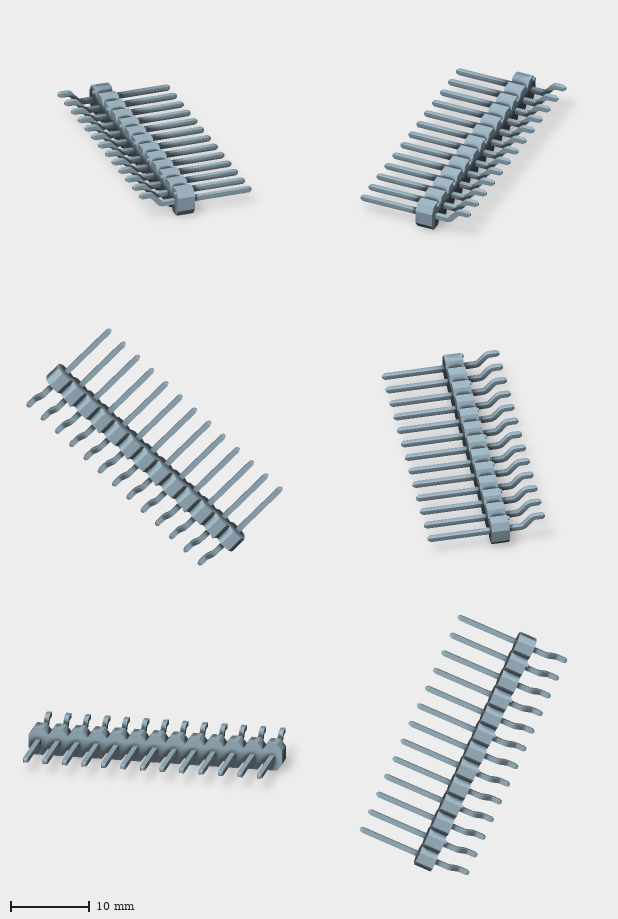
import cadquery as cq
import math


pin_count = 13
row_length = 33.02
pitch = row_length / pin_count
body_height = 3.55
body_depth = 2.3
notch_width = 0.63
notch_depth = 0.9

pin_size = 0.63
rear_length = 8.1
front_length = 4.8
lead_length = 1.6
bend_angle = 50.0
bend_radius = 0.83
tip_length = 0.33
tip_size = 0.33

peg_diameter = 0.53
peg_height = 0.25
peg_offset_x = 0.55
peg_offset_z = 1.3

half_height = body_height / 2
half_pin = pin_size / 2
rear_tip_y = body_depth + rear_length
foot_z = half_height - half_pin


def cell_center(index):
    return (index + 0.5) * pitch - row_length / 2


def make_housing():
    """Row of octagonal cells joined at their vertical sides."""
    half_pitch = pitch / 2
    flat = half_pitch - notch_width
    shoulder = half_height - notch_depth
    left = -row_length / 2
    upper = [(left, shoulder)]
    for index in range(pin_count):
        x = cell_center(index)
        upper += [(x - flat, half_height), (x + flat, half_height), (x + half_pitch, shoulder)]
    lower = [(x, -z) for x, z in reversed(upper)]
    return cq.Workplane("XZ").polyline(upper + lower).close().extrude(-body_depth)


def make_tip(base_y, z, direction):
    """Tapered end of a pin, narrowing from base_y in the given Y direction."""
    plane = cq.Plane(origin=(0, base_y, z), xDir=(1, 0, 0), normal=(0, direction, 0))
    return (
        cq.Workplane(plane)
        .rect(pin_size, pin_size)
        .workplane(offset=tip_length)
        .rect(tip_size, tip_size)
        .loft(ruled=True)
    )


def make_pin():
    """Square pin with an S-bend that lifts the tail to the top of the housing."""
    angle = math.radians(bend_angle)
    arc_run = bend_radius * math.sin(angle)
    arc_rise = bend_radius * (1 - math.cos(angle))
    half_run = bend_radius * math.sin(angle / 2)
    half_rise = bend_radius * (1 - math.cos(angle / 2))
    slope_rise = foot_z - 2 * arc_rise
    slope_run = slope_rise / math.tan(angle)

    rear_y = rear_tip_y - tip_length
    tail_y = tip_length - front_length
    bend_y = -lead_length
    foot_y = bend_y - 2 * arc_run - slope_run
    centreline = (
        cq.Workplane("YZ")
        .moveTo(rear_y, 0)
        .lineTo(bend_y, 0)
        .threePointArc((bend_y - half_run, half_rise), (bend_y - arc_run, arc_rise))
        .lineTo(foot_y + arc_run, foot_z - arc_rise)
        .threePointArc((foot_y + half_run, foot_z - half_rise), (foot_y, foot_z))
        .lineTo(tail_y, foot_z)
    )
    shaft = cq.Workplane("XZ", origin=(0, rear_y, 0)).rect(pin_size, pin_size).sweep(centreline)
    return shaft.union(make_tip(rear_y, 0, 1)).union(make_tip(tail_y, foot_z, -1))


def make_peg(index):
    """Peg at the upper right of even cells and at the lower left of odd cells."""
    side = 1 if index % 2 == 0 else -1
    x = cell_center(index) + side * peg_offset_x
    z = side * peg_offset_z
    return cq.Workplane("XZ").center(x, z).circle(peg_diameter / 2).extrude(peg_height)


result = make_housing()
pin = make_pin()
for cell in range(pin_count):
    result = result.union(pin.translate((cell_center(cell), 0, 0)))
    result = result.union(make_peg(cell))